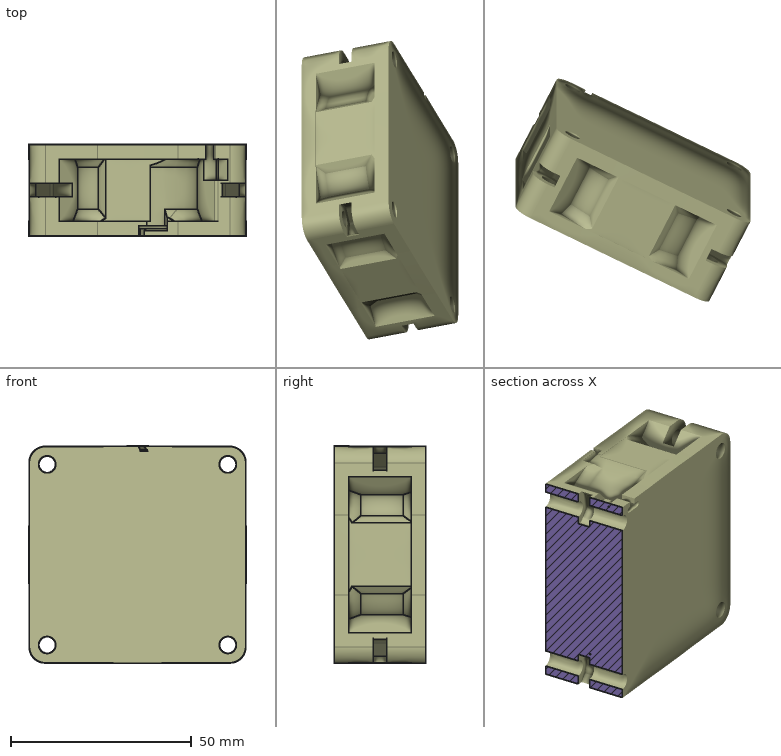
import cadquery as cq
import math

depth = 25.4
half_side = 30.0
bulge = 0.1
bulge_half_length = 11.1
corner_radius = 4.5
overshoot = 1.0

hole_offset = 25.0
hole_diameter = 4.6

duct_radius = 30.0
back_flare_radius = 31.0
front_flare_radius = 31.7
duct_back_y = 6.4
duct_front_y = -5.3

pocket_half_depth = 8.6
pocket_outer = 21.6
land_edge = 8.8
pocket_middle = (pocket_outer + land_edge) / 2
pocket_bottom = half_side - (pocket_outer - land_edge) / 2

slot_width = 3.7
slot_mouth = 23.4
slot_lip = 1.9
slot_corner_u = 23.76
slot_corner_w = 20.34
slot_fillet = 1.0
open_slot_reach = 18.0

land_right_edge = 3.5
wire_edge_fillet = 1.4
notch_left = 18.35
notch_floor = 26.8
notch_floor_right = 21.75
notch_front_y = 2.8
wire_groove_left = 16.8
wire_groove_right = 22.4
wire_groove_height = 1.6
back_slot_left = 18.95
back_slot_right = 21.1
back_slot_round = 0.45

channel_right = 7.5
channel_right_top = 8.2
upper_channel_left = 2.6
upper_channel_front_y = -9.9
lower_channel_left = 0.4
lower_channel_front_y = -11.3
lower_channel_foot_y = -10.65
lower_channel_floor = 29.0
channel_bottom = 28.0
exit_right = 1.8
exit_floor_left = 0.8
exit_floor_right = 2.8
exit_floor = 28.7


def prism(points, y_from, y_to):
    """Polygon in XZ, extruded from y_from to y_to."""
    outline = cq.Workplane("XZ", origin=(0, y_from, 0)).polyline(points).close()
    return outline.extrude(y_from - y_to)


def box(x_from, x_to, y_from, y_to, z_from, z_to):
    size = (x_to - x_from, y_to - y_from, z_to - z_from)
    return cq.Workplane("XY").box(*size, centered=False).translate((x_from, y_from, z_from))


def about_y(shape, angle):
    return shape.rotate((0, 0, 0), (0, 1, 0), angle)


def make_frame():
    """Rounded square block with slightly bulged sides."""
    side = 2 * half_side
    block = cq.Workplane("XZ").rect(side, side).extrude(depth / 2, both=True)
    block = block.edges("|Y").fillet(corner_radius)
    cap = (
        cq.Workplane("XZ")
        .moveTo(-bulge_half_length, half_side - overshoot)
        .lineTo(-bulge_half_length, half_side)
        .threePointArc((0, half_side + bulge), (bulge_half_length, half_side))
        .lineTo(bulge_half_length, half_side - overshoot)
        .close()
        .extrude(depth / 2, both=True)
    )
    for quarter in range(4):
        block = block.union(about_y(cap, 90 * quarter))
    return block


def make_duct():
    """Round duct body, flaring outwards towards both flanges."""
    back = pocket_half_depth
    points = [
        (0, -back),
        (front_flare_radius, -back),
        (duct_radius, duct_front_y),
        (duct_radius, duct_back_y),
        (back_flare_radius, back),
        (0, back),
    ]
    return cq.Workplane("XY").polyline(points).close().revolve(360, (0, 0, 0), (0, 1, 0))


def land_recess():
    """Shallow cut that leaves the land between two pockets flat."""
    return box(
        -pocket_outer, pocket_outer, -pocket_half_depth, pocket_half_depth,
        half_side, half_side + overshoot,
    )


def pocket_wedge():
    """V-shaped cutter of the pocket to the right of the land on the top side."""
    points = [
        (land_edge - overshoot, half_side + overshoot),
        (pocket_middle, pocket_bottom),
        (pocket_outer + overshoot, half_side + overshoot),
    ]
    return prism(points, -pocket_half_depth, pocket_half_depth)


def wire_pocket():
    """Widened pocket of the lead wires, with a rounded outer edge."""
    top = half_side + overshoot
    tangent = wire_edge_fillet * math.tan(math.radians(45) / 2)
    diagonal = tangent * math.cos(math.radians(45))
    outline = (
        cq.Workplane("XZ", origin=(0, -pocket_half_depth, 0))
        .moveTo(land_right_edge, top)
        .lineTo(land_right_edge, pocket_bottom)
        .lineTo(pocket_middle, pocket_bottom)
        .lineTo(pocket_outer - diagonal, half_side - diagonal)
        .radiusArc((pocket_outer + tangent, half_side), wire_edge_fillet)
        .lineTo(pocket_outer + tangent, top)
        .close()
    )
    return outline.extrude(-2 * pocket_half_depth)


def slot_cutter(opens_into_pocket):
    """Corner slot for the corner where X and Z are both positive."""
    outside = half_side + overshoot
    inset = half_side - slot_lip
    throat = slot_mouth - slot_lip
    lower = [
        (slot_corner_u, slot_corner_w),
        (inset, throat),
        (half_side, slot_mouth),
        (outside, slot_mouth),
        (outside, outside),
    ]
    if opens_into_pocket:
        wall_end = slot_corner_u + slot_corner_w - open_slot_reach
        upper = [(open_slot_reach, outside), (open_slot_reach, wall_end)]
    else:
        upper = [(slot_mouth, outside), (slot_mouth, half_side), (throat, inset)]
        upper.append((slot_corner_w, slot_corner_u))
    cutter = prism(lower + upper, -slot_width / 2, slot_width / 2)
    rounded = [(slot_corner_u, slot_corner_w)]
    if not opens_into_pocket:
        rounded.append((slot_corner_w, slot_corner_u))
    for x, z in rounded:
        cutter = cutter.edges(cq.NearestToPointSelector((x, 0, z))).fillet(slot_fillet)
    return cutter


def wire_notch():
    """Notch in the pocket's outer wall, with its slot and groove through the back flange."""
    top = half_side + overshoot
    rise = top - notch_floor
    notch = prism(
        [
            (notch_left, notch_floor),
            (notch_floor_right, notch_floor),
            (notch_floor_right + rise, top),
            (notch_left, top),
        ],
        notch_front_y,
        pocket_half_depth,
    )
    back_slot = (
        cq.Workplane("XZ", origin=(0, pocket_half_depth, 0))
        .moveTo(back_slot_left, notch_floor)
        .lineTo(back_slot_right, notch_floor)
        .lineTo(back_slot_right, half_side - back_slot_round)
        .radiusArc((back_slot_right + back_slot_round, half_side), back_slot_round)
        .lineTo(back_slot_right + back_slot_round, top)
        .lineTo(back_slot_left, top)
        .close()
        .extrude(pocket_half_depth - depth / 2)
    )
    groove_length = wire_groove_right - wire_groove_left
    groove = (
        cq.Workplane("XZ", origin=(0, notch_front_y, 0))
        .center(wire_groove_left + groove_length / 2, notch_floor + wire_groove_height / 2)
        .slot2D(groove_length, wire_groove_height)
        .extrude(notch_front_y - depth / 2)
    )
    return notch.union(back_slot).union(groove)


def upper_channel():
    """First leg of the wire channel, level with the duct wall."""
    top = half_side + overshoot
    slanted = prism(
        [
            (land_right_edge, channel_bottom),
            (channel_right, channel_bottom),
            (channel_right, half_side - overshoot),
            (channel_right_top, half_side),
            (channel_right_top, top),
            (land_right_edge, top),
        ],
        upper_channel_front_y,
        duct_front_y,
    )
    widening = box(
        upper_channel_left, land_right_edge,
        upper_channel_front_y, -pocket_half_depth,
        channel_bottom, top,
    )
    round_floor = cq.Workplane("XZ").circle(duct_radius).extrude(depth, both=True)
    return slanted.union(widening).cut(round_floor)


def lower_channel():
    """Second leg of the wire channel, with a leaning front wall, and its exit in the front face."""
    top = half_side + overshoot
    leg = (
        cq.Workplane("YZ", origin=(lower_channel_left, 0, 0))
        .moveTo(upper_channel_front_y, top)
        .lineTo(upper_channel_front_y, lower_channel_floor)
        .lineTo(lower_channel_foot_y, lower_channel_floor)
        .lineTo(lower_channel_front_y, half_side)
        .lineTo(lower_channel_front_y, top)
        .close()
        .extrude(channel_right_top - lower_channel_left)
    )
    mouth = prism(
        [
            (lower_channel_left, top),
            (lower_channel_left, half_side),
            (exit_floor_left, exit_floor),
            (exit_floor_right, exit_floor),
            (exit_right, half_side),
            (exit_right, top),
        ],
        -depth / 2,
        lower_channel_foot_y,
    )
    return leg.union(mouth)


duct = make_duct()
body = make_frame()
body = body.cut(
    cq.Workplane("XZ")
    .rect(2 * hole_offset, 2 * hole_offset, forConstruction=True)
    .vertices()
    .circle(hole_diameter / 2)
    .extrude(depth, both=True)
)

right_pocket = pocket_wedge().cut(duct)
left_pocket = right_pocket.mirror("YZ")
for quarter in range(4):
    for cutter in (land_recess(), right_pocket, left_pocket):
        body = body.cut(about_y(cutter, 90 * quarter))

body = body.cut(wire_pocket().cut(duct))
body = body.cut(upper_channel())
body = body.cut(wire_notch())
body = body.cut(lower_channel())

closed_slot = slot_cutter(False)
for quarter in (0, 1, 2):
    body = body.cut(about_y(closed_slot, 90 * quarter))
body = body.cut(slot_cutter(True).mirror("YZ"))

result = body